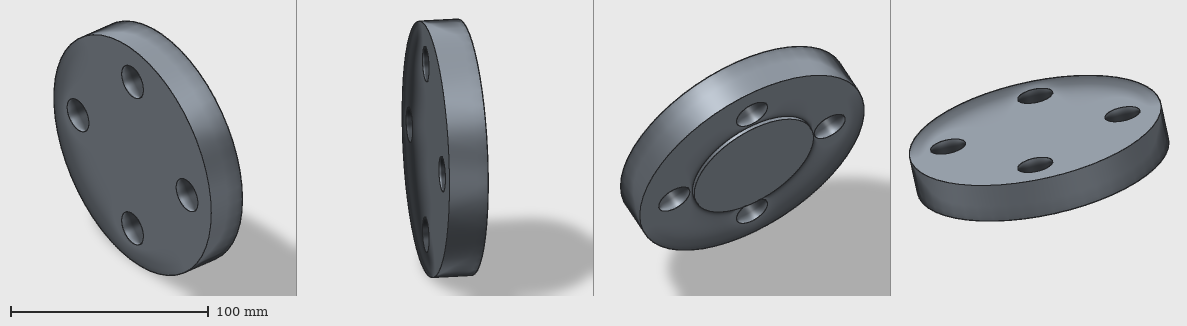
import cadquery as cq

flange_diameter = 130.0
total_thickness = 22.0
raised_face_height = 2.0
raised_face_diameter = 69.0
bolt_circle_diameter = 90.0
bolt_hole_diameter = 18.0
bolt_count = 4

disc_thickness = total_thickness - raised_face_height


def cylinder_along_y(diameter, length):
    """Cylinder from the plane Y = 0 toward +Y, centred on the Y axis."""
    return cq.Workplane("XZ").circle(diameter / 2).extrude(-length)


def bolt_holes():
    """Through-hole cutters, evenly spaced on the bolt circle."""
    return (
        cq.Workplane("XZ")
        .polarArray(bolt_circle_diameter / 2, 0, 360, bolt_count)
        .circle(bolt_hole_diameter / 2)
        .extrude(-disc_thickness)
    )


disc = cylinder_along_y(flange_diameter, disc_thickness)
raised_face = cylinder_along_y(raised_face_diameter, total_thickness)

result = disc.union(raised_face).cut(bolt_holes())